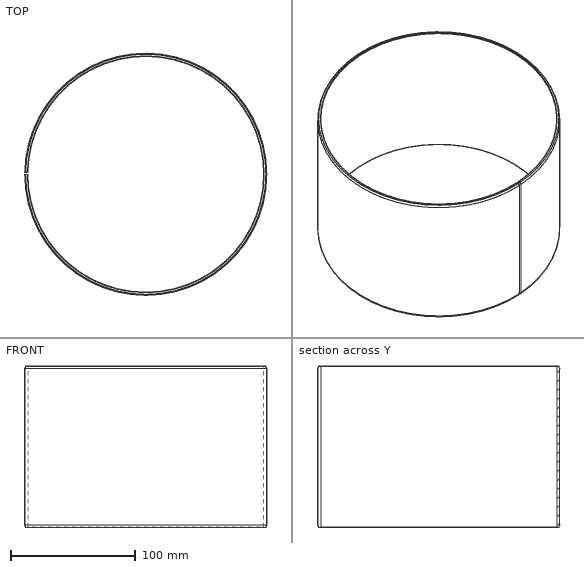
import cadquery as cq

outer_diameter = 195.0
height = 130.0
wall = 2.5
bevel_depth = 0.8
bevel_height = 2.0
bore_chamfer = 0.4
slit_width = 1.5

outer_radius = outer_diameter / 2
inner_radius = outer_radius - wall
outer_rim_radius = outer_radius - bevel_depth
inner_rim_radius = inner_radius + bore_chamfer
half_height = height / 2
outer_shoulder = half_height - bevel_height
inner_shoulder = half_height - bore_chamfer


def sleeve():
    """Revolve the wall section, beveled outside and chamfered inside, about Z."""
    section = [
        (inner_radius, -inner_shoulder),
        (inner_rim_radius, -half_height),
        (outer_rim_radius, -half_height),
        (outer_radius, -outer_shoulder),
        (outer_radius, outer_shoulder),
        (outer_rim_radius, half_height),
        (inner_rim_radius, half_height),
        (inner_radius, inner_shoulder),
    ]
    return cq.Workplane("XZ").polyline(section).close().revolve(360, (0, 0), (0, 1))


def slit():
    """Full-height cutter that splits the wall on the -X side."""
    return cq.Workplane("XY").box(outer_radius, slit_width, height).translate(
        (-outer_radius, slit_width / 2, 0)
    )


result = sleeve().cut(slit())